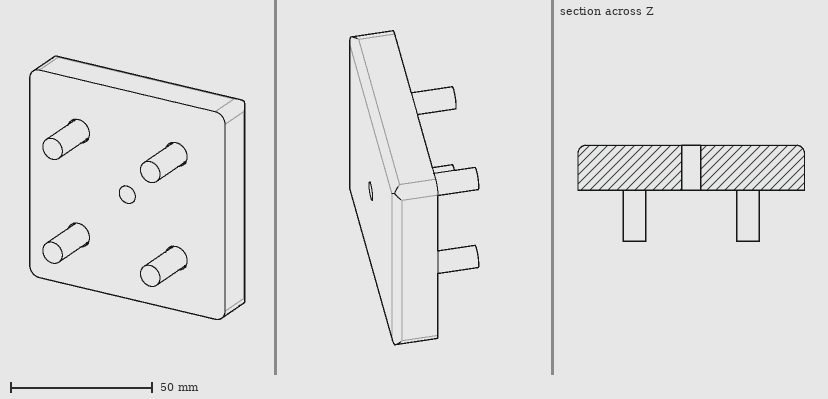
import cadquery as cq

plate_side = 80.0
plate_thickness = 16.0
corner_radius = 4.0
back_edge_radius = 3.0

total_depth = 34.0
pin_diameter = 8.0
pin_projection = total_depth - plate_thickness
pin_spacing = plate_side / 2

ring_clearance = 0.5
ring_diameter = pin_diameter + 2 * ring_clearance
ring_depth = 3.0

center_hole_diameter = 6.6


def make_block():
    """Square block the size of the plate, with sharp edges."""
    return cq.Workplane("XY").box(
        plate_side, plate_thickness, plate_side, centered=(True, False, True)
    )


def make_plate():
    """Plate whose back edge rounds meet in miters that the corner rounds trim."""
    back_rounded = make_block().faces(">Y").edges().fillet(back_edge_radius)
    corner_rounded = make_block().edges("|Y").fillet(corner_radius)
    return back_rounded.intersect(corner_rounded)


def make_cylinders(diameter, y_start, y_end, centers):
    """Cylinders along Y from y_start to y_end at the given (x, z) centers."""
    base = cq.Workplane("XZ", origin=(0, y_start, 0))
    return base.pushPoints(centers).circle(diameter / 2).extrude(y_start - y_end)


half_spacing = pin_spacing / 2
pin_centers = [
    (x, z)
    for x in (-half_spacing, half_spacing)
    for z in (-half_spacing, half_spacing)
]

ring_recesses = make_cylinders(ring_diameter, ring_depth, 0, pin_centers)
pins = make_cylinders(pin_diameter, ring_depth, -pin_projection, pin_centers)
center_hole = make_cylinders(center_hole_diameter, plate_thickness, 0, [(0, 0)])

result = make_plate().cut(ring_recesses).cut(center_hole).union(pins)